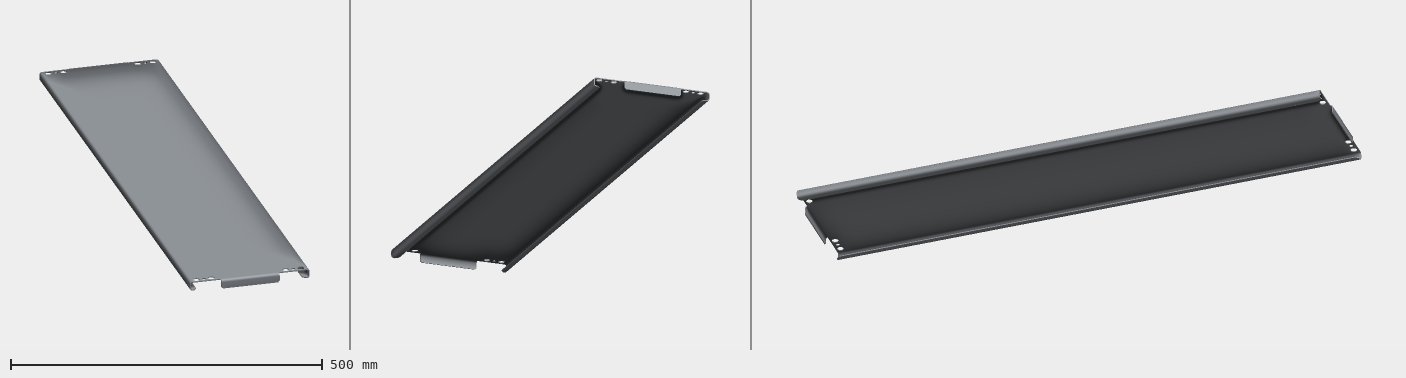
import cadquery as cq

overall_length = 899.0
panel_width = 200.0
panel_height = 15.0
sheet = 1.5
bend_radius = 4.5

lip_width = 12.0
lip_end_bevel = 5.0

tab_overhang = 4.5
tab_width = 97.0
tab_corner_chamfer = 3.0
panel_length = overall_length - 2 * tab_overhang

large_hole_diameter = 11.0
small_hole_diameter = 6.0
hole_pitch = 13.0
hole_edge_distance = 13.0
hole_end_distance = 8.0


def make_channel():
    """Panel with both long sides folded into C-shaped flanges."""
    outer = (
        cq.Workplane("YZ")
        .rect(panel_width, panel_height)
        .extrude(panel_length / 2, both=True)
        .edges("|X")
        .fillet(bend_radius)
    )
    inner = (
        cq.Workplane("YZ")
        .rect(panel_width - 2 * sheet, panel_height - 2 * sheet)
        .extrude(panel_length / 2, both=True)
        .edges("|X")
        .fillet(bend_radius - sheet)
    )
    lip_gap = cq.Workplane("XY").box(
        panel_length, panel_width - 2 * lip_width, panel_height, centered=(True, True, False)
    ).translate((0, 0, -panel_height))
    return outer.cut(inner).cut(lip_gap).cut(make_lip_bevels())


def make_lip_bevels():
    """Triangular cutters that mitre the inner corner at each end of both lips."""
    end = panel_length / 2
    lip_edge = panel_width / 2 - lip_width
    corner = (
        cq.Workplane("XY", origin=(0, 0, -panel_height / 2))
        .moveTo(end, lip_edge)
        .lineTo(end - lip_end_bevel, lip_edge)
        .lineTo(end, lip_edge + lip_end_bevel)
        .close()
        .extrude(sheet)
    )
    pair = corner.union(corner.mirror("XZ"))
    return pair.union(pair.mirror("YZ"))


def make_tab(side):
    """Rounded bend and downward leg at one end; side is -1 or 1 along X."""
    top = panel_height / 2
    end = overall_length / 2
    root = panel_length / 2 - sheet
    inner_radius = bend_radius - sheet
    tab = (
        cq.Workplane("XZ")
        .moveTo(root, top)
        .lineTo(end - bend_radius, top)
        .radiusArc((end, top - bend_radius), bend_radius)
        .lineTo(end, -top)
        .lineTo(end - sheet, -top)
        .lineTo(end - sheet, top - bend_radius)
        .radiusArc((end - bend_radius, top - sheet), -inner_radius)
        .lineTo(root, top - sheet)
        .close()
        .extrude(tab_width / 2, both=True)
        .faces("<Z")
        .edges("|X")
        .chamfer(tab_corner_chamfer)
    )
    return tab if side > 0 else tab.mirror("YZ")


def make_hole_cutters(diameter, steps):
    """Holes through the top sheet at all four corners, counted in pitches from the first."""
    row_x = panel_length / 2 - hole_end_distance
    first_y = panel_width / 2 - hole_edge_distance
    centres = [
        (x_side * row_x, y_side * (first_y - step * hole_pitch))
        for x_side in (-1, 1)
        for y_side in (-1, 1)
        for step in steps
    ]
    return cq.Workplane("XY").pushPoints(centres).circle(diameter / 2).extrude(panel_height)


result = make_channel()
for end_side in (-1, 1):
    result = result.union(make_tab(end_side))
result = result.cut(make_hole_cutters(large_hole_diameter, (0, 2)))
result = result.cut(make_hole_cutters(small_hole_diameter, (1,)))